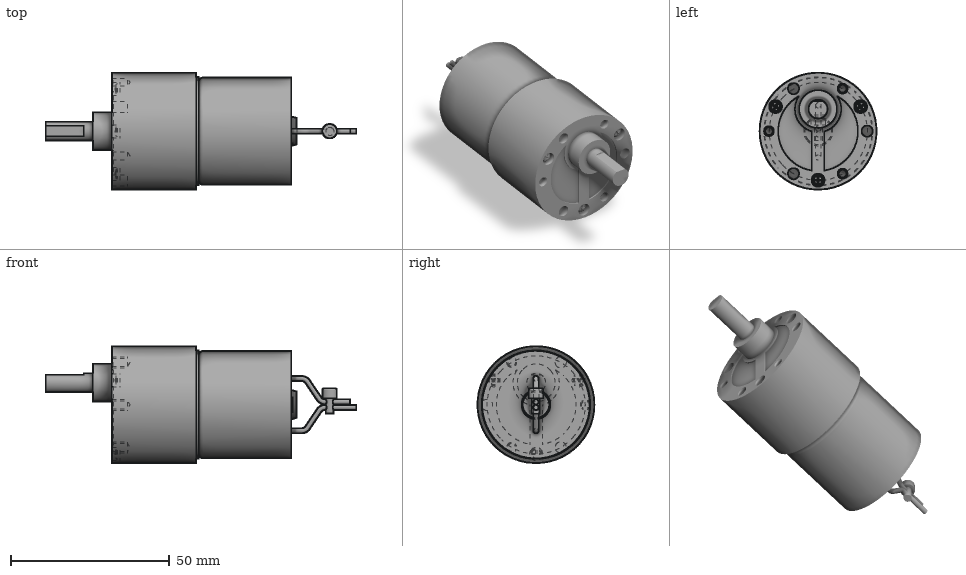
import cadquery as cq
import math

total_length = 98.2

shaft_height = 7.0
shaft_diameter = 6.0
flat_length = 12.0
flat_depth = 0.5
boss_start = 14.9
boss_diameter = 12.0

gearbox_start = 20.9
gearbox_end = 47.5
gearbox_diameter = 37.0
neck_diameter = 34.4
motor_start = 48.3
motor_end = 77.7
motor_diameter = 34.0
motor_fillet = 1.5
rear_boss_length = 1.7
rear_boss_diameter = 9.1
rear_boss_chamfer_length = 1.3
rear_boss_chamfer_height = 0.4

recess_diameter = 25.2
recess_depth = 0.5
collar_diameter = 14.6
rib_width = 3.8

hole_circle_radius = 15.5
plain_hole_diameter = 3.5
plain_hole_depth = 4.9
tapped_hole_diameter = 2.5
tapped_hole_mouth = 3.1
tapped_hole_depth = 4.9
drill_point_angle = 118.0
screw_hole_diameter = 4.1
screw_hole_depth = 2.5
screw_head_diameter = 3.3
screw_head_height = 1.2
screw_head_chamfer = 0.3
screw_dome_height = 0.3
cross_length = 2.6
cross_width = 0.4
cross_depth = 0.8

wire_diameter = 1.7
wire_exit_height = 8.25
wire_end_height = 0.9
first_bend_start = 80.9
bend_angle = 56.0
bend_radius = 2.3
upper_wire_end = 96.3
pin_position = 89.8
pin_bottom = -2.8
pin_diameter = 2.6
pin_head_bottom = 2.0
pin_head_top = 5.2
pin_head_diameter = 4.6
pin_head_fillet = 0.6


def rod(start, end, diameter, y=0.0, z=0.0):
    """Cylinder along X between two X positions."""
    return cq.Workplane("YZ", origin=(start, y, z)).circle(diameter / 2).extrude(end - start)


def around_axis(feature, first_angle):
    """Three copies of a feature 120 degrees apart; angles run from +Y towards +Z."""
    copies = cq.Workplane("XY")
    for step in range(3):
        angle = first_angle + 120.0 * step
        copies = copies.add(feature.rotate((0, 0, 0), (1, 0, 0), angle))
    return copies.combine()


def shaft_and_boss():
    shaft = rod(0, boss_start, shaft_diameter, z=shaft_height)
    flat_height = shaft_height + shaft_diameter / 2 - flat_depth
    flat_cutter = (
        cq.Workplane("XY", origin=(0, 0, flat_height))
        .rect(2 * flat_length, shaft_diameter)
        .extrude(shaft_diameter)
    )
    boss = rod(boss_start, gearbox_start, boss_diameter, z=shaft_height)
    return shaft.cut(flat_cutter).union(boss)


def housing():
    gearbox = rod(gearbox_start, gearbox_end, gearbox_diameter)
    neck = rod(gearbox_end, motor_start, neck_diameter)
    motor = rod(motor_start, motor_end, motor_diameter).faces("<X").edges().fillet(motor_fillet)
    rear_boss = rod(motor_end, motor_end + rear_boss_length, rear_boss_diameter)
    rear_rim = rear_boss.faces(">X").edges()
    rear_boss = rear_rim.chamfer(rear_boss_chamfer_length, rear_boss_chamfer_height)
    return gearbox.union(neck).union(motor).union(rear_boss)


def face_recess():
    recess_floor = gearbox_start + recess_depth
    disc = rod(gearbox_start, recess_floor, recess_diameter)
    collar = rod(gearbox_start, recess_floor, collar_diameter, z=shaft_height)
    rib = (
        cq.Workplane("XY", origin=(gearbox_start, 0, shaft_height - gearbox_diameter))
        .box(recess_depth, rib_width, gearbox_diameter, centered=(False, True, False))
    )
    return disc.cut(collar).cut(rib)


def plain_hole():
    return rod(gearbox_start, gearbox_start + plain_hole_depth, plain_hole_diameter, y=hole_circle_radius)


def tapped_hole():
    """Blind hole with a 45 degree countersink and a drill point."""
    radius = tapped_hole_diameter / 2
    mouth_radius = tapped_hole_mouth / 2
    bottom = gearbox_start + tapped_hole_depth
    tip = bottom + radius / math.tan(math.radians(drill_point_angle / 2))
    return (
        cq.Workplane("XY")
        .moveTo(gearbox_start, 0)
        .lineTo(gearbox_start, mouth_radius)
        .lineTo(gearbox_start + mouth_radius - radius, radius)
        .lineTo(bottom, radius)
        .lineTo(tip, 0)
        .close()
        .revolve(360, (0, 0, 0), (1, 0, 0))
        .translate((0, hole_circle_radius, 0))
    )


def screw_head():
    """Chamfered screw head with a low dome and a cross slot, facing -X."""
    radius = screw_head_diameter / 2
    dome_radius = radius - screw_head_chamfer
    floor = gearbox_start + screw_hole_depth
    shoulder = floor - screw_head_height
    dome_top = shoulder - screw_dome_height
    dome_sphere_radius = (dome_radius**2 + screw_dome_height**2) / (2 * screw_dome_height)
    head = (
        cq.Workplane("XY")
        .moveTo(floor, 0)
        .lineTo(floor, radius)
        .lineTo(shoulder + screw_head_chamfer, radius)
        .lineTo(shoulder, dome_radius)
        .radiusArc((dome_top, 0), -dome_sphere_radius)
        .close()
        .revolve(360, (0, 0, 0), (1, 0, 0))
    )
    slot_plane = cq.Workplane("YZ", origin=(dome_top, 0, 0))
    slot = slot_plane.rect(cross_length, cross_width).extrude(cross_depth)
    cross = slot.union(slot.rotate((0, 0, 0), (1, 0, 0), 90))
    return head.cut(cross).translate((0, hole_circle_radius, 0))


def screw_hole():
    """Hole with a screw head standing on its floor."""
    floor = gearbox_start + screw_hole_depth
    hole = rod(gearbox_start, floor, screw_hole_diameter, y=hole_circle_radius)
    return hole.cut(screw_head())


def upper_wire(end):
    """Round wire swept along two opposite bends joined by a sloping run."""
    angle = math.radians(bend_angle)
    bend_run = bend_radius * math.sin(angle)
    bend_drop = bend_radius * (1 - math.cos(angle))
    half_run = bend_radius * math.sin(angle / 2)
    half_drop = bend_radius * (1 - math.cos(angle / 2))
    slope_drop = wire_exit_height - wire_end_height - 2 * bend_drop
    slope_start = (first_bend_start + bend_run, wire_exit_height - bend_drop)
    slope_end = (slope_start[0] + slope_drop / math.tan(angle), wire_end_height + bend_drop)
    last_bend_end = slope_end[0] + bend_run
    first_bend_middle = (first_bend_start + half_run, wire_exit_height - half_drop)
    last_bend_middle = (last_bend_end - half_run, wire_end_height + half_drop)
    path = (
        cq.Workplane("XZ")
        .moveTo(motor_end, wire_exit_height)
        .lineTo(first_bend_start, wire_exit_height)
        .threePointArc(first_bend_middle, slope_start)
        .lineTo(*slope_end)
        .threePointArc(last_bend_middle, (last_bend_end, wire_end_height))
        .lineTo(end, wire_end_height)
    )
    section = cq.Workplane("YZ", origin=(motor_end, 0, wire_exit_height)).circle(wire_diameter / 2)
    return section.sweep(path)


def wire_pin():
    stem = (
        cq.Workplane("XY", origin=(pin_position, 0, pin_bottom))
        .circle(pin_diameter / 2)
        .extrude(pin_head_bottom - pin_bottom)
    )
    head = (
        cq.Workplane("XY", origin=(pin_position, 0, pin_head_bottom))
        .circle(pin_head_diameter / 2)
        .extrude(pin_head_top - pin_head_bottom)
        .faces(">Z")
        .edges()
        .fillet(pin_head_fillet)
    )
    return stem.union(head)


lower_wire = upper_wire(total_length).mirror("XY")

result = (
    housing()
    .cut(face_recess())
    .cut(around_axis(plain_hole(), 60))
    .cut(around_axis(tapped_hole(), 0))
    .cut(around_axis(screw_hole(), 30))
    .union(shaft_and_boss())
    .union(upper_wire(upper_wire_end))
    .union(lower_wire)
    .union(wire_pin())
)